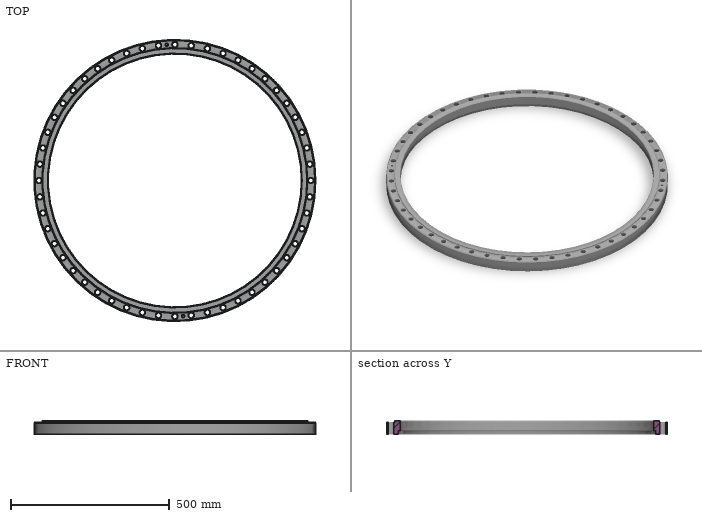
import cadquery as cq
import math

outer_diameter = 890.0
bore_diameter = 800.0
flange_height = 38.0
raised_face_height = 4.8
total_height = flange_height + raised_face_height

raised_face_diameter = 838.0

recess_radial_width = 6.0
recess_depth = 11.0

outer_top_edge_chamfer = 3.0
outer_bottom_edge_chamfer = 1.0
raised_face_edge_chamfer = 2.0
bore_edge_chamfer = 2.0

bolt_count = 52
bolt_circle_diameter = 859.0
bolt_hole_diameter = 17.0
bolt_pitch_angle = 360 / bolt_count

pin_hole_diameter = 8.0
first_pin_angle = 90 + bolt_pitch_angle / 2


def make_disc(diameter, height):
    return cq.Workplane("XY").circle(diameter / 2).extrude(height)


def make_flange():
    return (
        make_disc(outer_diameter, flange_height)
        .edges(">Z")
        .chamfer(outer_top_edge_chamfer)
        .edges("<Z")
        .chamfer(outer_bottom_edge_chamfer)
    )


def make_raised_face():
    return make_disc(raised_face_diameter, total_height).edges(">Z").chamfer(raised_face_edge_chamfer)


def make_bore_cutter():
    """Revolved bore with a chamfered mouth at the top and above the bottom recess."""
    bore_radius = bore_diameter / 2
    recess_radius = bore_radius + recess_radial_width
    mouth_radius = bore_radius + bore_edge_chamfer
    return (
        cq.Workplane("XZ")
        .lineTo(recess_radius, 0)
        .lineTo(recess_radius, recess_depth)
        .lineTo(mouth_radius, recess_depth)
        .lineTo(bore_radius, recess_depth + bore_edge_chamfer)
        .lineTo(bore_radius, total_height - bore_edge_chamfer)
        .lineTo(mouth_radius, total_height)
        .lineTo(0, total_height)
        .close()
        .revolve(360, (0, 0, 0), (0, 1, 0))
    )


def make_hole_cutters(count, diameter, start_angle):
    """Through-hole cylinders equally spaced around the bolt circle."""
    radius = bolt_circle_diameter / 2
    centers = []
    for index in range(count):
        angle = math.radians(start_angle + index * 360 / count)
        centers.append((radius * math.cos(angle), radius * math.sin(angle)))
    return cq.Workplane("XY").pushPoints(centers).circle(diameter / 2).extrude(total_height)


bolt_holes = make_hole_cutters(bolt_count, bolt_hole_diameter, 0)
pin_holes = make_hole_cutters(2, pin_hole_diameter, first_pin_angle)

result = (
    make_flange()
    .union(make_raised_face())
    .cut(make_bore_cutter())
    .cut(bolt_holes)
    .cut(pin_holes)
)